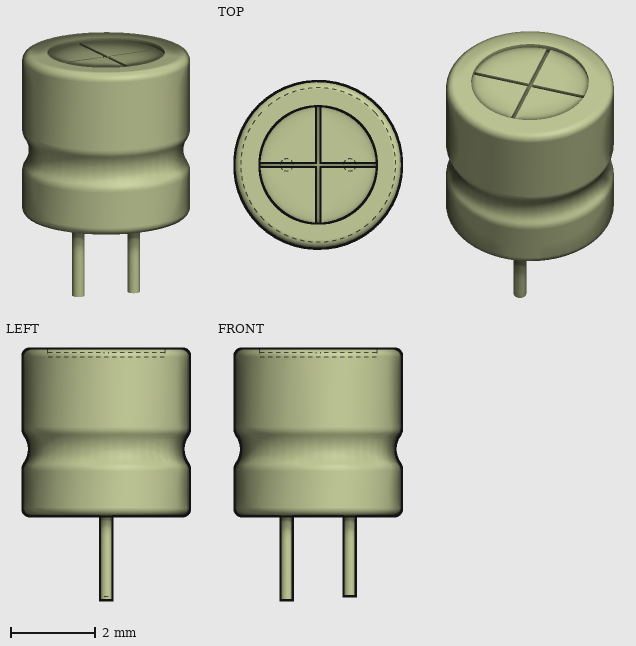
import cadquery as cq
import math

body_radius = 2.0
body_height = 4.0
rim_fillet = 0.2

groove_height = 1.6
groove_arc_radius = 0.6
groove_blend_radius = 0.3
groove_half_width = 0.51

recess_radius = 1.4
recess_depth = 0.1
score_width = 0.1
score_depth = 0.1

pin_diameter = 0.3
pin_pitch = 1.5
long_pin_length = 2.0
short_pin_length = 1.9


def make_can():
    """Revolve the can's half profile, with rounded rims and the crimp groove."""
    center_distance = groove_arc_radius + groove_blend_radius
    center_offset = math.sqrt(center_distance**2 - groove_half_width**2)
    blend_center = body_radius - groove_blend_radius
    groove_center = blend_center + center_offset
    groove_floor = groove_center - groove_arc_radius
    blend_share = groove_blend_radius / center_distance
    joint_radius = blend_center + blend_share * center_offset
    joint_rise = groove_half_width * (1 - blend_share)

    half_turn = math.atan2(groove_half_width, center_offset) / 2
    blend_mid_radius = blend_center + groove_blend_radius * math.cos(half_turn)
    blend_mid_rise = groove_half_width - groove_blend_radius * math.sin(half_turn)

    rim_inset = rim_fillet * (1 - math.sqrt(0.5))
    flat_radius = body_radius - rim_fillet
    rim_mid_radius = body_radius - rim_inset

    profile = (
        cq.Workplane("XZ")
        .lineTo(flat_radius, 0)
        .threePointArc((rim_mid_radius, rim_inset), (body_radius, rim_fillet))
        .lineTo(body_radius, groove_height - groove_half_width)
        .threePointArc(
            (blend_mid_radius, groove_height - blend_mid_rise),
            (joint_radius, groove_height - joint_rise),
        )
        .threePointArc(
            (groove_floor, groove_height),
            (joint_radius, groove_height + joint_rise),
        )
        .threePointArc(
            (blend_mid_radius, groove_height + blend_mid_rise),
            (body_radius, groove_height + groove_half_width),
        )
        .lineTo(body_radius, body_height - rim_fillet)
        .threePointArc((rim_mid_radius, body_height - rim_inset), (flat_radius, body_height))
        .lineTo(0, body_height)
        .close()
    )
    return profile.revolve(360, (0, 0, 0), (0, 1, 0))


def make_top_cut():
    """Shape removed from the top: the round recess and the vent score below it."""
    recess_floor = body_height - recess_depth
    recess = cq.Workplane("XY").workplane(offset=recess_floor).circle(recess_radius).extrude(recess_depth)

    score_plane = cq.Workplane("XY").workplane(offset=recess_floor - score_depth)
    score_reach = score_plane.circle(recess_radius).extrude(score_depth)
    along_x = score_plane.rect(2 * recess_radius, score_width).extrude(score_depth)
    along_y = score_plane.rect(score_width, 2 * recess_radius).extrude(score_depth)
    score = along_x.union(along_y).intersect(score_reach)
    return recess.union(score)


def make_pin(x, length):
    """Round lead hanging from the underside of the can."""
    return cq.Workplane("XY").center(x, 0).circle(pin_diameter / 2).extrude(-length)


result = (
    make_can()
    .cut(make_top_cut())
    .union(make_pin(-pin_pitch / 2, long_pin_length))
    .union(make_pin(pin_pitch / 2, short_pin_length))
)